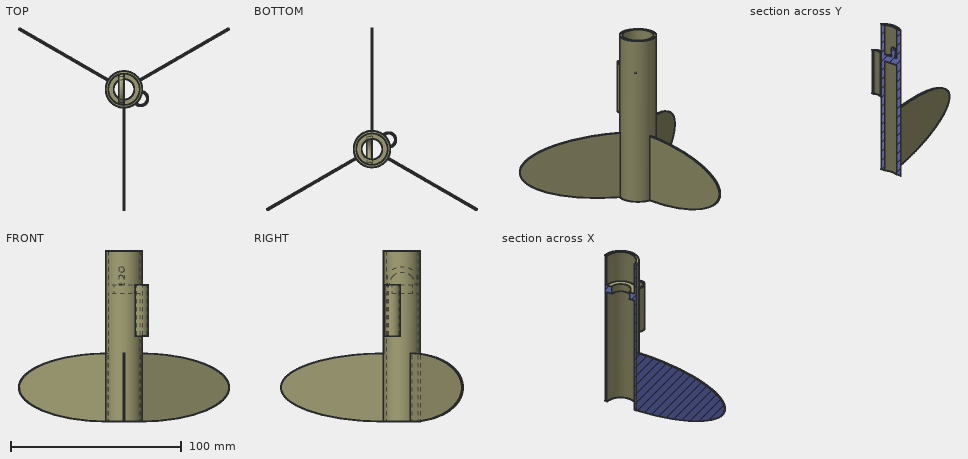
import cadquery as cq

TUBE_HEIGHT = 100.0
TUBE_RADIUS = 21.5 / 2
BORE_RADIUS = 18.3 / 2

STOP_TOP = 80.0
STOP_THICKNESS = 5.0
STOP_HOLE_RADIUS = 12.0 / 2
LOOP_RADIUS = 9.1
LOOP_WIRE_RADIUS = 1.6
LOOP_X = -LOOP_WIRE_RADIUS

FIN_COUNT = 3
FIN_HEIGHT = 40.0
FIN_REACH = 70.8
FIN_THICKNESS = 1.0
FIRST_FIN_ANGLE = -90.0

LUG_RADIUS = 4.5
LUG_WALL = 1.0
LUG_X = 9.7
LUG_Y = -5.4
LUG_TOP = STOP_TOP
LUG_LENGTH = 30.0


def make_cord_loop():
    """Half ring of round wire, arched in a plane across X."""
    wire_start = cq.Workplane("XY", origin=(LOOP_X, -LOOP_RADIUS, STOP_TOP)).circle(LOOP_WIRE_RADIUS)
    return wire_start.revolve(180, (0, LOOP_RADIUS, 0), (-1, LOOP_RADIUS, 0))


def make_tube():
    """Body tube in one piece with its stop ring and cord loop."""
    tube = cq.Workplane("XY").circle(TUBE_RADIUS).circle(BORE_RADIUS).extrude(TUBE_HEIGHT)
    stop_ring = (
        cq.Workplane("XY", origin=(0, 0, STOP_TOP - STOP_THICKNESS))
        .circle(TUBE_RADIUS)
        .circle(STOP_HOLE_RADIUS)
        .extrude(STOP_THICKNESS)
    )
    return tube.union(stop_ring).union(make_cord_loop())


def make_tube_envelope():
    """Solid cylinder that trims the parts fitted against the tube."""
    return cq.Workplane("XY").circle(TUBE_RADIUS).extrude(TUBE_HEIGHT)


def make_fin(angle):
    """Half-elliptical plate whose root follows the tube surface."""
    half_height = FIN_HEIGHT / 2
    fin = (
        cq.Workplane("XZ", origin=(0, FIN_THICKNESS / 2, 0))
        .lineTo(TUBE_RADIUS, 0)
        .ellipseArc(
            FIN_REACH - TUBE_RADIUS,
            half_height,
            angle1=-90,
            angle2=90,
            startAtCurrent=True,
        )
        .lineTo(0, FIN_HEIGHT)
        .close()
        .extrude(FIN_THICKNESS)
    )
    return fin.cut(make_tube_envelope()).rotate((0, 0, 0), (0, 0, 1), angle)


def make_launch_lug():
    """Small guide tube, cut away where it meets the body tube."""
    lug = (
        cq.Workplane("XY", origin=(LUG_X, LUG_Y, LUG_TOP - LUG_LENGTH))
        .circle(LUG_RADIUS)
        .circle(LUG_RADIUS - LUG_WALL)
        .extrude(LUG_LENGTH)
    )
    return lug.cut(make_tube_envelope())


tube = make_tube()
launch_lug = make_launch_lug()
fins = []
for index in range(FIN_COUNT):
    fins.append(make_fin(FIRST_FIN_ANGLE + index * 360 / FIN_COUNT))

result = cq.Compound.makeCompound([tube.val(), launch_lug.val(), *[fin.val() for fin in fins]])